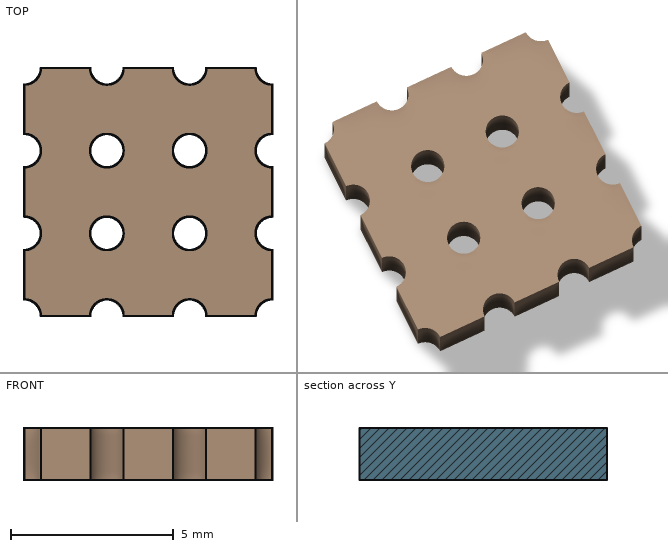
import cadquery as cq

side = 7.62
thickness = 1.6

hole_diameter = 1.02
holes_per_side = 4
pitch = side / (holes_per_side - 1)

plate = cq.Workplane("XY").rect(side, side).extrude(thickness)

hole_cutters = (
    cq.Workplane("XY")
    .rarray(pitch, pitch, holes_per_side, holes_per_side)
    .circle(hole_diameter / 2)
    .extrude(thickness)
)

result = plate.cut(hole_cutters)